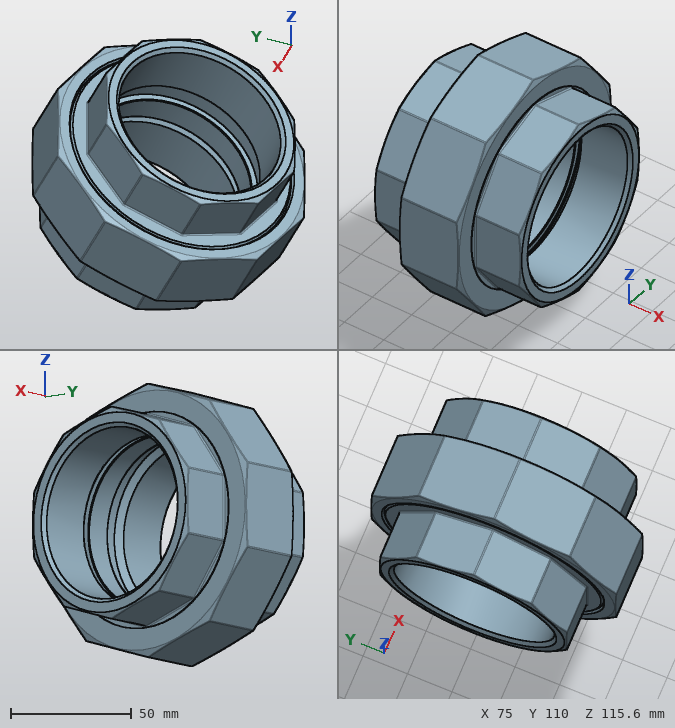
import cadquery as cq
import math


total_length = 75.0
nut_start = 22.0
nut_end = 52.0
seat = 34.9
lip_start = 46.9
shoulder_setback = 0.2
threaded_shoulder = nut_start + shoulder_setback
sealing_shoulder = nut_end - shoulder_setback

sides = 10
threaded_end_flats = 84.0
sealing_end_flats = 85.3
nut_flats = 110.0
corner_radius = 1.0
crown_fillet = 0.3
crown_height = 1.0
base_fillet = 0.6

threaded_end_face = 82.7
sealing_end_face = 84.0
nut_face = 109.1

thread_diameter = 98.8
thread_tip_diameter = 97.1
nut_mouth_diameter = 100.3
mouth_end = nut_start + 1.2
neck_diameter = 91.0

bore_diameter = 72.2
bore_mouth_diameter = 75.5
bore_mouth_depth = 1.6
pipe_thread_length = 25.0
relief_diameter = 78.1
run_out = 2.4
middle_bore_end = 46.9
middle_bore_chamfer = 0.3

tolerance = 0.01


def turned(profile):
    """Revolve (x, diameter) points about the X axis, closing the outline along the axis."""
    points = [(profile[0][0], 0)]
    points += [(x, diameter / 2) for x, diameter in profile]
    points += [(profile[-1][0], 0)]
    return cq.Workplane("XY").polyline(points).close().revolve(360, (0, 0, 0), (1, 0, 0))


def corner_diameter(flats):
    return flats / math.cos(math.pi / sides)


def decagon(start, end, flats):
    """Decagonal bar with rounded long edges and one corner pointing up."""
    return (
        cq.Workplane("YZ", origin=(start, 0, 0))
        .polygon(sides, corner_diameter(flats))
        .extrude(end - start)
        .rotate((0, 0, 0), (1, 0, 0), 90)
        .edges("|X")
        .fillet(corner_radius)
    )


def crown(bar, tip, inward, flats, face):
    """Turn a shallow cone on one end of a decagonal bar and soften where it meets the flats.

    tip is the X of the end face and inward (+1 or -1) points from it into the bar.
    """
    corner = corner_diameter(flats)
    shoulder = tip + inward * crown_height
    far_end = tip + inward * total_length
    bar = bar.intersect(turned([(tip, face), (shoulder, corner), (far_end, corner)]))
    near = cq.selectors.BoxSelector(
        (tip + inward * tolerance, -corner, -corner),
        (shoulder + inward * crown_fillet, corner, corner),
    )
    return bar.edges(near).edges("not %LINE").fillet(crown_fillet)


def pipe_socket(mouth_x, inward, relief_end):
    """Cutter for a pipe socket: flared mouth, thread bore, conical run-out and relief.

    mouth_x is the X of the open end, inward (+1 or -1) points into the body and
    relief_end is the X where the relief stops.
    """
    thread_end = mouth_x + inward * pipe_thread_length
    return turned(
        [
            (mouth_x, bore_mouth_diameter),
            (mouth_x + inward * bore_mouth_depth, bore_diameter),
            (thread_end, bore_diameter),
            (thread_end + inward * run_out, relief_diameter),
            (relief_end, relief_diameter),
        ]
    )


def flare_base(body, shoulder_x, flats):
    """Round the inner corner where a decagon stands on its shoulder.

    Only the straight edges are picked; the fillet follows them round the corners.
    """
    reach = corner_diameter(flats)
    shoulder_plane = cq.selectors.BoxSelector(
        (shoulder_x - tolerance, -reach, -reach),
        (shoulder_x + tolerance, reach, reach),
    )
    return body.edges(shoulder_plane).edges("%LINE").fillet(base_fillet)


def make_threaded_end():
    """Pipe end with the male thread that the nut screws onto."""
    bar = decagon(0, threaded_shoulder, threaded_end_flats)
    bar = crown(bar, 0, 1, threaded_end_flats, threaded_end_face)
    male_thread = turned(
        [
            (threaded_shoulder, thread_tip_diameter),
            (mouth_end, thread_diameter),
            (seat, thread_diameter),
        ]
    )
    body = bar.union(male_thread)
    body = flare_base(body, threaded_shoulder, threaded_end_flats)
    return body.cut(pipe_socket(0, 1, seat))


def make_sealing_end():
    """Pipe end whose flange is pulled against the seat by the nut lip."""
    bar = decagon(sealing_shoulder, total_length, sealing_end_flats)
    bar = crown(bar, total_length, -1, sealing_end_flats, sealing_end_face)
    flange_and_neck = turned(
        [
            (seat, thread_diameter),
            (lip_start, thread_diameter),
            (lip_start, neck_diameter),
            (sealing_shoulder, neck_diameter),
        ]
    )
    body = bar.union(flange_and_neck)
    body = flare_base(body, sealing_shoulder, sealing_end_flats)
    middle_mouth = bore_diameter + 2 * middle_bore_chamfer
    middle_bore = turned(
        [
            (seat, middle_mouth),
            (seat + middle_bore_chamfer, bore_diameter),
            (middle_bore_end - middle_bore_chamfer, bore_diameter),
            (middle_bore_end, middle_mouth),
        ]
    )
    return body.cut(pipe_socket(total_length, -1, middle_bore_end)).cut(middle_bore)


def make_nut():
    """Union nut: threaded over one end, with a lip behind the flange of the other."""
    body = decagon(nut_start, nut_end, nut_flats)
    body = crown(body, nut_start, 1, nut_flats, nut_face)
    body = crown(body, nut_end, -1, nut_flats, nut_face)
    opening = turned(
        [
            (nut_start, nut_mouth_diameter),
            (mouth_end, thread_diameter),
            (lip_start, thread_diameter),
            (lip_start, neck_diameter),
            (nut_end, neck_diameter),
        ]
    )
    return body.cut(opening)


threaded_end = make_threaded_end()
sealing_end = make_sealing_end()
nut = make_nut()

result = cq.Compound.makeCompound([threaded_end.val(), sealing_end.val(), nut.val()])